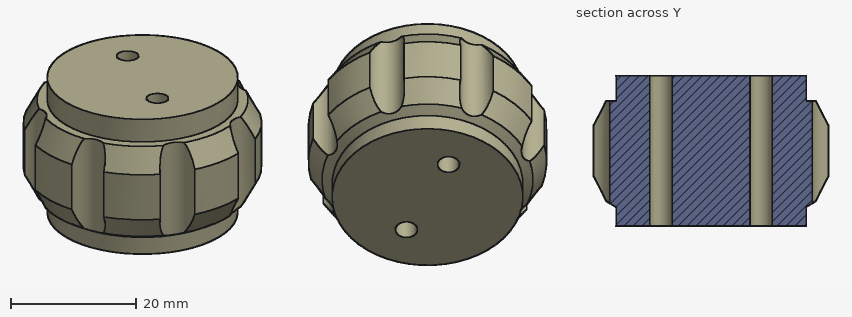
import cadquery as cq
import math

grip_edge_x = 18.8
cap_radius = 15.2
shoulder_radius = 16.85
height = 24.0

undercut_bottom = 3.0
lower_shoulder = 4.0
grip_bottom = 8.0
grip_top = 16.0
upper_shoulder = 20.0

flute_count = 8
flute_radius = 2.9
flute_floor = 16.15
flute_center = flute_floor + flute_radius

flute_half_width = math.sqrt(flute_radius**2 - (flute_center - grip_edge_x) ** 2)
grip_radius = math.hypot(grip_edge_x, flute_half_width)

hole_diameter = 3.5
hole_spacing = 16.0


def make_body():
    """Revolve the half profile (radius, height) about Z."""
    profile = [
        (0, 0),
        (cap_radius, 0),
        (cap_radius, undercut_bottom),
        (shoulder_radius, lower_shoulder),
        (grip_radius, grip_bottom),
        (grip_radius, grip_top),
        (shoulder_radius, upper_shoulder),
        (cap_radius, upper_shoulder),
        (cap_radius, height),
        (0, height),
    ]
    return cq.Workplane("XZ").polyline(profile).close().revolve(360, (0, 0, 0), (0, 1, 0))


def make_flutes():
    """Upright round cutters, evenly spaced around the grip."""
    return (
        cq.Workplane("XY")
        .polarArray(flute_center, 0, 360, flute_count)
        .circle(flute_radius)
        .extrude(height)
    )


def make_holes():
    """Two round cutters on the X axis that pass through the full height."""
    return (
        cq.Workplane("XY")
        .rarray(hole_spacing, 0.38, 2, 1)
        .circle(hole_diameter / 2)
        .extrude(height)
    )


result = make_body().cut(make_flutes()).cut(make_holes())